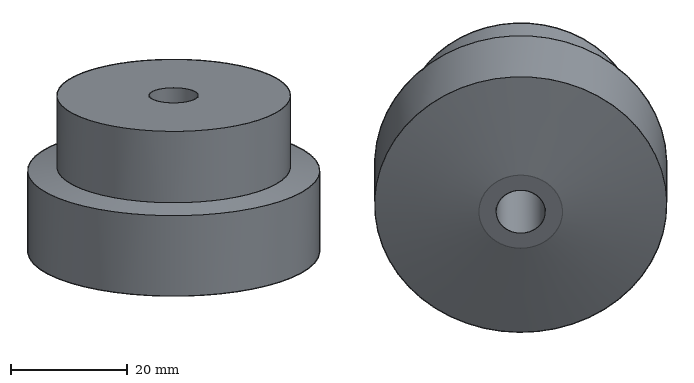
import cadquery as cq
import math

body_diameter = 50.0
hub_diameter = 40.0
bottom_flat_diameter = 14.3
bore_diameter = 8.4
total_height = 30.55

cone_angle = 8.0
body_wall_height = 14.5

body_radius = body_diameter / 2
hub_radius = hub_diameter / 2
bottom_flat_radius = bottom_flat_diameter / 2
bore_radius = bore_diameter / 2

cone_slope = math.tan(math.radians(cone_angle))
body_bottom = (body_radius - bottom_flat_radius) * cone_slope
body_top = body_bottom + body_wall_height
hub_base = body_top + (body_radius - hub_radius) * cone_slope

section = [
    (bore_radius, 0),
    (bottom_flat_radius, 0),
    (body_radius, body_bottom),
    (body_radius, body_top),
    (hub_radius, hub_base),
    (hub_radius, total_height),
    (bore_radius, total_height),
]

result = cq.Workplane("XZ").polyline(section).close().revolve(360, (0, 0, 0), (0, 1, 0))